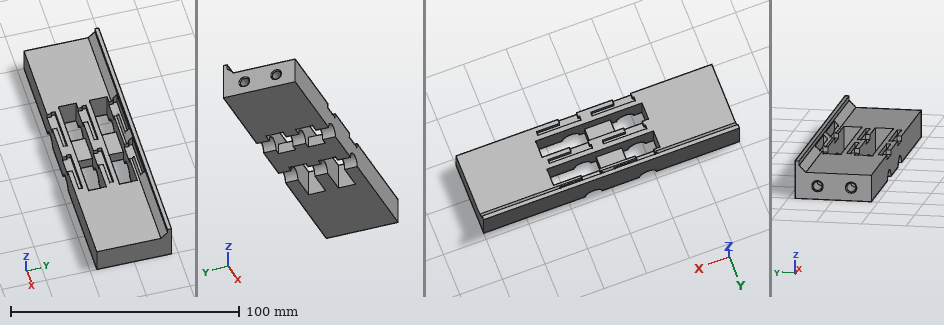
import cadquery as cq

length = 120.0
width = 34.0
body_height = 12.0

total_height = 17.0
lip_thickness = 1.8
slope_leg = 3.0

window_start = 35.0
window_end = 85.0
rib_width = 6.0
window_width = 8.0
window_pitch = rib_width + window_width
rib_front_faces = [i * window_pitch for i in range(3)]

bridge_start = 49.9
bridge_length = 12.0
bridge_height = 5.0

station_pitch = 25.5
station_centers = [43.0 + i * station_pitch for i in range(2)]
axle_radius = 4.0
slot_length = 20.2
slot_width = 1.8
slot_lead = 5.6
notch_length = 8.6
notch_width = 2.0
notch_inset = 0.7
seat_depth = 2.2

hole_positions = [9.0, 24.0]
hole_height = 6.0
hole_diameter = 4.1
hole_depth = 9.6
mouth_chamfer = 0.5


def box(x, y, z, dx, dy, dz):
    """Box with its minimum corner at (x, y, z)."""
    return cq.Workplane("XY").box(dx, dy, dz, centered=False).translate((x, y, z))


def lipped_block():
    """Block with the rear lip and its sloped foot, extruded along X."""
    lip_face = width - lip_thickness
    return (
        cq.Workplane("YZ")
        .moveTo(0, 0)
        .lineTo(width, 0)
        .lineTo(width, total_height)
        .lineTo(lip_face, total_height)
        .lineTo(lip_face, body_height + slope_leg)
        .lineTo(lip_face - slope_leg, body_height)
        .lineTo(0, body_height)
        .close()
        .extrude(length)
    )


def window(rib_front):
    """Through window behind a rib, without the bridge."""
    y = rib_front + rib_width
    opening = box(window_start, y, 0, window_end - window_start, window_width, body_height)
    return opening.cut(box(bridge_start, y, 0, bridge_length, window_width, bridge_height))


def axle_groove(center):
    """Half-round groove across the underside."""
    return cq.Workplane("XZ").center(center, 0).circle(axle_radius).extrude(-width)


def seat(center, rib_front):
    """Notch in the front of a rib, opening into a long slot behind it."""
    floor = body_height - seat_depth
    height = seat_depth + slope_leg
    slot_start = center - slot_lead
    slot = box(slot_start, rib_front + notch_width, floor, slot_length, slot_width, height)
    notch = box(slot_start + notch_inset, rib_front, floor, notch_length, notch_width, height)
    return notch.union(slot)


def screw_hole(y):
    """Blind hole with a chamfered mouth in the left end."""
    radius = hole_diameter / 2
    profile = (
        cq.Workplane("XY")
        .moveTo(0, 0)
        .lineTo(0, radius + mouth_chamfer)
        .lineTo(mouth_chamfer, radius)
        .lineTo(hole_depth, radius)
        .lineTo(hole_depth, 0)
        .close()
    )
    return profile.revolve(360, (0, 0, 0), (1, 0, 0)).translate((0, y, hole_height))


result = lipped_block()
for rib_front in rib_front_faces[:-1]:
    result = result.cut(window(rib_front))
for center in station_centers:
    result = result.cut(axle_groove(center))
    for rib_front in rib_front_faces:
        result = result.cut(seat(center, rib_front))
for y in hole_positions:
    result = result.cut(screw_hole(y))